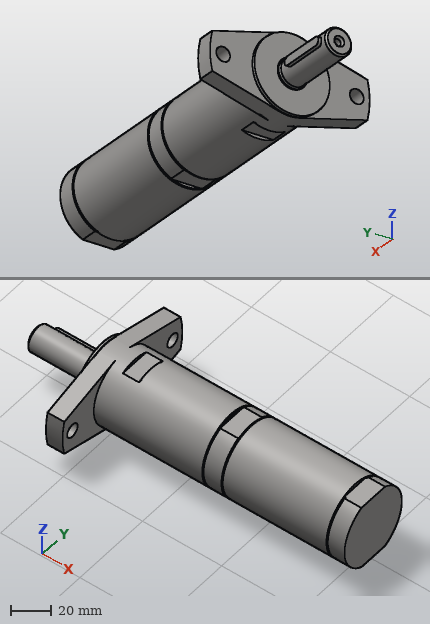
import cadquery as cq
import math

SHAFT_TAPER_START = 39.7
COLLAR_START = 41.0
PILOT_FACE = 41.6
FLANGE_FRONT = 43.5
FLANGE_BACK = 54.2
OVERALL_LENGTH = 212.5

BODY_RADIUS = 46.0 / 2
RELIEF_RADIUS = 45.0 / 2
PILOT_RADIUS = RELIEF_RADIUS
RELIEF_WIDTH = 0.6
FRONT_FLATS = (61.8, 72.0)
MIDDLE_FLATS = (123.2, 134.7)
END_FLATS = (201.0, OVERALL_LENGTH)
ACROSS_FLATS = 41.9

SHAFT_RADIUS = 16.0 / 2
TAPER_END_RADIUS = 17.0 / 2
COLLAR_RADIUS = 17.5 / 2
SHAFT_CHAMFER = 1.0
CENTRE_HOLE_RADIUS = 4.0 / 2
COUNTERSINK_RADIUS = 6.0 / 2
COUNTERSINK_DEPTH = 1.7
CENTRE_HOLE_DEPTH = 6.4
DRILL_TIP_DEPTH = 1.0

KEY_START = 4.0
KEY_LENGTH = 30.0
KEY_WIDTH = 5.0
KEY_TOP = 9.8

FLANGE_SPAN = 95.6
FLANGE_SIDE_ANGLE = math.radians(15)
BOLT_SPACING = 80.0
BOLT_HOLE_DIAMETER = 8.3


def revolve_profile(points):
    """Revolve (x, radius) points around the X axis."""
    return cq.Workplane("XY").polyline(points).close().revolve(360, (0, 0, 0), (1, 0, 0))


def ring(start, end, inner_radius, outer_radius):
    """Plain ring around the X axis."""
    sketch = cq.Workplane("YZ").workplane(offset=start).circle(outer_radius).circle(inner_radius)
    return sketch.extrude(end - start)


def make_turned_parts():
    """Shaft, collar, pilot and body as one turned profile."""
    return revolve_profile([
        (0, 0),
        (0, SHAFT_RADIUS - SHAFT_CHAMFER),
        (SHAFT_CHAMFER, SHAFT_RADIUS),
        (SHAFT_TAPER_START, SHAFT_RADIUS),
        (COLLAR_START, TAPER_END_RADIUS),
        (COLLAR_START, COLLAR_RADIUS),
        (PILOT_FACE, COLLAR_RADIUS),
        (PILOT_FACE, PILOT_RADIUS),
        (FLANGE_FRONT, PILOT_RADIUS),
        (FLANGE_FRONT, BODY_RADIUS),
        (OVERALL_LENGTH, BODY_RADIUS),
        (OVERALL_LENGTH, 0),
    ])


def make_flange():
    """Two-bolt flange: round ends, straight sides tangent to the body."""
    end_radius = FLANGE_SPAN / 2
    tangent_y = BODY_RADIUS * math.sin(FLANGE_SIDE_ANGLE)
    tangent_z = BODY_RADIUS * math.cos(FLANGE_SIDE_ANGLE)
    corner_angle = math.pi / 2 - FLANGE_SIDE_ANGLE - math.acos(BODY_RADIUS / end_radius)
    corner_y = end_radius * math.cos(corner_angle)
    corner_z = end_radius * math.sin(corner_angle)
    return (
        cq.Workplane("YZ")
        .workplane(offset=FLANGE_FRONT)
        .moveTo(tangent_y, tangent_z)
        .lineTo(corner_y, corner_z)
        .threePointArc((end_radius, 0), (corner_y, -corner_z))
        .lineTo(tangent_y, -tangent_z)
        .lineTo(-tangent_y, -tangent_z)
        .lineTo(-corner_y, -corner_z)
        .threePointArc((-end_radius, 0), (-corner_y, corner_z))
        .lineTo(-tangent_y, tangent_z)
        .close()
        .pushPoints([(-BOLT_SPACING / 2, 0), (BOLT_SPACING / 2, 0)])
        .circle(BOLT_HOLE_DIAMETER / 2)
        .extrude(FLANGE_BACK - FLANGE_FRONT)
    )


def make_key():
    """Round-ended key standing out of the +Y side of the shaft."""
    return (
        cq.Workplane("XZ")
        .center(KEY_START + KEY_LENGTH / 2, 0)
        .slot2D(KEY_LENGTH, KEY_WIDTH)
        .extrude(-KEY_TOP)
    )


def make_centre_hole():
    """Countersunk centre hole with a conical drill tip."""
    return revolve_profile([
        (0, 0),
        (0, COUNTERSINK_RADIUS),
        (COUNTERSINK_DEPTH, CENTRE_HOLE_RADIUS),
        (CENTRE_HOLE_DEPTH, CENTRE_HOLE_RADIUS),
        (CENTRE_HOLE_DEPTH + DRILL_TIP_DEPTH, 0),
    ])


def make_flat_cut(start, end):
    """Material above and below a pair of wrench flats."""
    outer = cq.Workplane("XY").box(end - start, 2 * BODY_RADIUS, 3 * BODY_RADIUS)
    kept = cq.Workplane("XY").box(end - start, 2 * BODY_RADIUS, ACROSS_FLATS)
    return outer.cut(kept).translate(((start + end) / 2, 0, 0))


result = make_turned_parts().union(make_flange()).union(make_key()).cut(make_centre_hole())

for flats_start, flats_end in (FRONT_FLATS, MIDDLE_FLATS, END_FLATS):
    result = result.cut(make_flat_cut(flats_start, flats_end))

for groove_start in (MIDDLE_FLATS[0] - RELIEF_WIDTH, MIDDLE_FLATS[1], END_FLATS[0]):
    groove = ring(groove_start, groove_start + RELIEF_WIDTH, RELIEF_RADIUS, 2 * BODY_RADIUS)
    result = result.cut(groove)